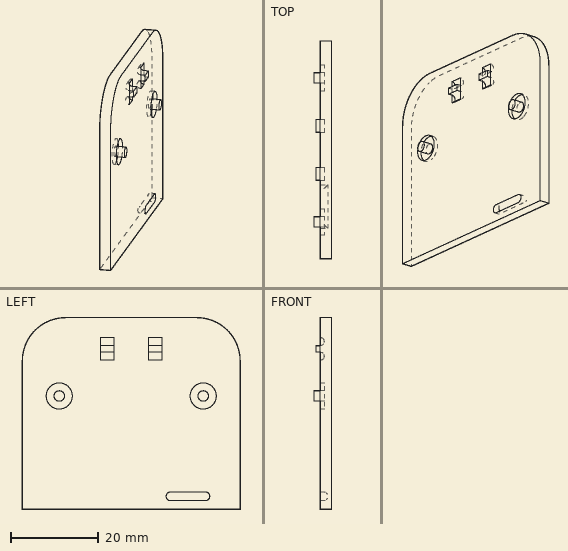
import cadquery as cq

width = 50.0
height = 44.0
thickness = 2.6
corner_radius = 10.0

pin_offset = 16.5
pin_height = 26.0
pin_diameter = 2.4
pin_projection = 1.45
recess_diameter = 6.0
recess_depth = 1.0

bar_offset = 5.5
bar_height = 36.8
bar_length = 3.0
bar_thickness = 1.5
bar_projection = 1.0
groove_diameter = 1.85

slot_center_y = -13.0
slot_height = 3.0
slot_length = 10.0
slot_width = 2.0
slot_wall_depth = 0.75


def make_plate():
    """Upright plate with rounded upper corners."""
    plate = cq.Workplane("XY").box(thickness, width, height, centered=(False, True, False))
    return plate.edges("|X and >Z").fillet(corner_radius)


def disc(diameter, x_start, x_end, y, z):
    """Round solid along X between two X positions."""
    face = cq.Workplane("YZ", origin=(x_start, y, z))
    return face.circle(diameter / 2).extrude(x_end - x_start)


def add_pin(body, y):
    recess = disc(recess_diameter, 0, recess_depth, y, pin_height)
    pin = disc(pin_diameter, -pin_projection, recess_depth, y, pin_height)
    return body.cut(recess).union(pin)


def rod(diameter, length, x, y, z):
    """Round solid along Y, centered on the given point."""
    section = cq.Workplane("XZ", origin=(x, y, z)).circle(diameter / 2)
    return section.extrude(length / 2, both=True)


def add_bar(body, y):
    groove_offset = (bar_thickness + groove_diameter) / 2
    for side in (-1, 1):
        groove_z = bar_height + side * groove_offset
        body = body.cut(rod(groove_diameter, bar_length, 0, y, groove_z))
    bar = (
        cq.Workplane("XY", origin=(-bar_projection, y, bar_height))
        .box(bar_projection, bar_length, bar_thickness, centered=(False, True, True))
    )
    return body.union(bar)


def make_slot():
    """Slot with a rounded outline and a half-round floor along its whole length."""
    outline = (
        cq.Workplane("YZ", origin=(0, slot_center_y, slot_height))
        .slot2D(slot_length, slot_width)
        .extrude(thickness)
    )
    floor = rod(slot_width, slot_length, slot_wall_depth, slot_center_y, slot_height)
    walls = (
        cq.Workplane("XY", origin=(0, slot_center_y, slot_height))
        .box(slot_wall_depth, slot_length, slot_width, centered=(False, True, True))
    )
    return outline.intersect(floor.union(walls))


result = make_plate()
for mirror_side in (-1, 1):
    result = add_pin(result, mirror_side * pin_offset)
    result = add_bar(result, mirror_side * bar_offset)
result = result.cut(make_slot())